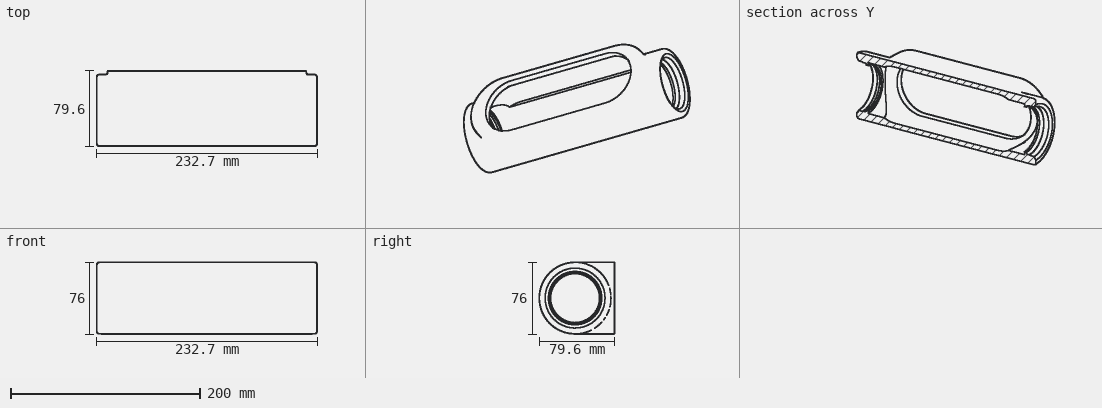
import cadquery as cq
import math

length = 232.7
body_radius = 38.0
end_fillet = 3.0
rim_height = 41.6
rim_rounding = 0.88
boss_center = 67.0
saddle_fillet = 2.3

bore_radius = 28.6
cavity_radius = 31.6
cavity_fillet = 2.3
tab_underside = 33.7
opening_center = 55.8
opening_radius = 31.0

mouth_radius = 31.6
chamfer_depth = 2.3
thread_start_radius = 28.2
thread_end_radius = 27.7
thread_end = 8.4
relief_radius = 27.5
shoulder_radius = 2.3
throat_radius = 25.8
throat_start = 12.5
throat_end = 15.1


def stadium(center, radius, bottom, top):
    """Prism along Y with rounded ends, from y = bottom to y = top."""
    plane = cq.Workplane("XZ", origin=(0, top, 0))
    return plane.slot2D(2 * (center + radius), 2 * radius).extrude(top - bottom)


def x_cylinder(radius, half_length):
    """Cylinder along X, centred on mid length."""
    return cq.Workplane("YZ").circle(radius).extrude(half_length, both=True)


def make_outside():
    """Tube with rounded ends, blended into the boss."""
    tube = x_cylinder(body_radius, length / 2).faces("|X").edges().fillet(end_fillet)
    boss = stadium(boss_center, body_radius, 0, rim_height)
    boss = boss.faces(">Y").edges().fillet(rim_rounding)
    return tube.union(boss).edges("%ELLIPSE").fillet(saddle_fillet)


def make_cavity():
    """Bore between the throats, boss cavity and the shorter opening between the end tabs."""
    bore = x_cylinder(bore_radius, length / 2 - throat_end)
    boss_cavity = stadium(boss_center, cavity_radius, 0, tab_underside)
    boss_cavity = boss_cavity.faces(">Y").edges().fillet(cavity_fillet)
    opening = stadium(opening_center, opening_radius, 0, rim_height)
    return bore.union(boss_cavity).union(opening)


def make_mouth():
    """Void of the -X mouth: chamfer, tapered thread, relief, shoulder and throat."""
    face_x = -length / 2
    shoulder_drop = relief_radius - throat_radius
    shoulder_run = math.sqrt(shoulder_radius**2 - (shoulder_radius - shoulder_drop) ** 2)
    return (
        cq.Workplane("XY")
        .moveTo(face_x, 0)
        .lineTo(face_x, mouth_radius)
        .lineTo(face_x + chamfer_depth, thread_start_radius)
        .lineTo(face_x + thread_end, thread_end_radius)
        .lineTo(face_x + thread_end, relief_radius)
        .lineTo(face_x + throat_start - shoulder_run, relief_radius)
        .radiusArc((face_x + throat_start, throat_radius), shoulder_radius)
        .lineTo(face_x + throat_end, throat_radius)
        .lineTo(face_x + throat_end, 0)
        .close()
        .revolve(360, (0, 0, 0), (1, 0, 0))
    )


mouth = make_mouth()
result = make_outside().cut(make_cavity()).cut(mouth).cut(mouth.mirror("YZ"))